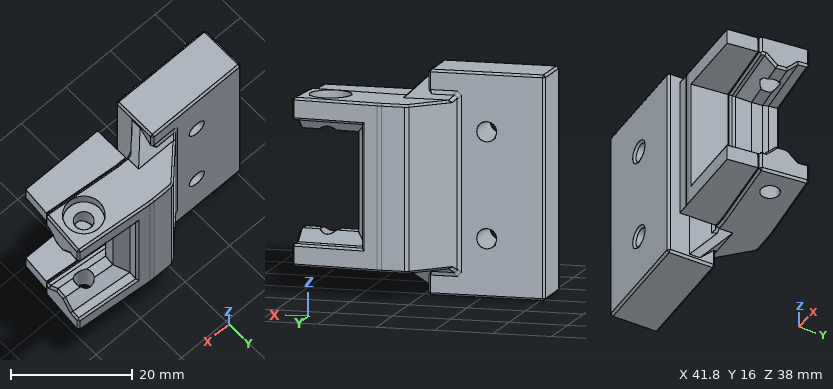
import cadquery as cq
import math

TOTAL_LENGTH = 41.8
CHAMFER = 0.4
TOLERANCE = 0.0005

BLOCK_LENGTH = 20.0
BLOCK_DEPTH = 9.0
BLOCK_HEIGHT = 38.0
SCREW_DIAMETER = 3.4
SCREW_SPACING = 18.0

ARM_OFFSET = 7.0
ARM_DEPTH = BLOCK_DEPTH
ARM_HEIGHT = 28.4
ARM_REACH = 15.0
BEND_ANGLE = 5.0
STRAP_FRONT_X = 23.0
STRAP_BACK_X = 21.75
STRAP_ROOT_Y = 7.1
FLARE_X = 24.0
FLARE_Y = 10.0

WINDOW_START = 2.7
WINDOW_HEIGHT = 20.8
RIDGE_HEIGHT = 2.0
RIDGE_TOP = 2.0
RIDGE_START = 1.0

PIVOT_DIAMETER = 3.4
PIVOT_ALONG = 10.05
HEAD_DIAMETER = 7.0
HEAD_DEPTH = 2.1

FRAME_GAP = 0.2
FRAME_RECESS_LENGTH = 0.63

bend_sin = math.sin(math.radians(BEND_ANGLE))
bend_cos = math.cos(math.radians(BEND_ANGLE))
bend_x = TOTAL_LENGTH - ARM_REACH * bend_cos - (ARM_DEPTH - CHAMFER) * bend_sin
arm_back = ARM_OFFSET + ARM_DEPTH
half_arm = ARM_HEIGHT / 2
ridge_top_start = RIDGE_START + RIDGE_HEIGHT
ridge_top_end = ridge_top_start + RIDGE_TOP
ridge_end = ridge_top_end + RIDGE_HEIGHT
pivot_depth = (ridge_top_start + ridge_top_end) / 2
far = 4 * TOTAL_LENGTH

bent_plane = cq.Plane(origin=(bend_x, ARM_OFFSET, 0), xDir=(bend_cos, -bend_sin, 0), normal=(0, 0, 1))


def bent_point(along, depth):
    """X and Y of a point given along and through the bent arm."""
    return bent_plane.toWorldCoords((along, depth, 0)).toTuple()[:2]


def bent_box(start, end, front, back, height):
    """Box in the axes of the bent arm, centred on Z = 0."""
    corners = [(start, front), (end, front), (end, back), (start, back)]
    outline = [bent_point(along, depth) for along, depth in corners]
    return cq.Workplane("XY").polyline(outline).close().extrude(height / 2, both=True)




def depth_in_bent_arm(point):
    return bent_plane.toLocalCoords(point).y


def distance_to_arm_end(point):
    return bent_plane.toLocalCoords(point).x - ARM_REACH


def depth_in_strap(point):
    return (point.x - STRAP_BACK_X) - (point.y - arm_back)




def is_on(edge, distance):
    """Whether both ends of an edge are at zero distance from a plane."""
    return all(abs(distance(point)) < TOLERANCE for point in (edge.startPoint(), edge.endPoint()))


def is_upright(edge):
    along = edge.endPoint() - edge.startPoint()
    return math.hypot(along.x, along.y) < TOLERANCE


def is_arm_rim(edge):
    """Whether an edge is on the rim of the front, back or end of the arm, above the flare at the back."""
    if is_on(edge, distance_to_arm_end):
        return True
    if is_upright(edge):
        return is_on(edge, lambda point: point.x - STRAP_BACK_X)
    if is_on(edge, depth_in_strap):
        return edge.Center().y > FLARE_Y
    rim_planes = [
        lambda point: point.y - ARM_OFFSET,
        lambda point: point.y - arm_back,
        depth_in_bent_arm,
        lambda point: depth_in_bent_arm(point) - ARM_DEPTH,
    ]
    return any(is_on(edge, distance) for distance in rim_planes)


def is_flare_rim(edge):
    """Whether an edge lies between the flare and the sloping back of the strap."""
    return is_on(edge, depth_in_strap) and not is_upright(edge) and STRAP_ROOT_Y < edge.Center().y < FLARE_Y


def is_strap_front_corner(edge):
    """Whether an edge is the inner corner between the strap and the straight front face."""
    return is_upright(edge) and abs(edge.startPoint().x - STRAP_FRONT_X) < TOLERANCE


def is_strap_foot(edge):
    """Whether an edge is an inner corner between the strap and the back of the block."""
    middle = edge.Center()
    return (
        is_on(edge, lambda point: point.y - BLOCK_DEPTH)
        and abs(middle.z) < BLOCK_HEIGHT / 2 - 2 * CHAMFER
        and CHAMFER + TOLERANCE < middle.x < BLOCK_LENGTH - CHAMFER - TOLERANCE
    )


def is_window_end_rim(edge):
    """Whether an edge is where the window walls run out at the end of the arm."""
    return is_on(edge, distance_to_arm_end) and abs(edge.Center().z) < WINDOW_HEIGHT / 2 + CHAMFER


def chamfer_where(shape, wanted):
    """Chamfer the edges that pass a test; an inner corner gets filled."""
    return shape.newObject([edge for edge in shape.edges().vals() if wanted(edge)]).chamfer(CHAMFER)




def make_block():
    """Chamfered mounting block, before its screw holes."""
    block = cq.Workplane("XY").box(BLOCK_LENGTH, BLOCK_DEPTH, BLOCK_HEIGHT, centered=(False, False, True))
    return block.edges().chamfer(CHAMFER)


def strap_outline():
    """Outline of the arm in X and Y, rooted inside the block."""
    return [
        (STRAP_FRONT_X - (ARM_OFFSET - CHAMFER), CHAMFER),
        (STRAP_FRONT_X, ARM_OFFSET),
        (bend_x, ARM_OFFSET),
        bent_point(ARM_REACH, 0),
        bent_point(ARM_REACH, ARM_DEPTH),
        bent_point(0, ARM_DEPTH),
        (bend_x, arm_back),
        (STRAP_BACK_X, arm_back),
        (STRAP_BACK_X - (arm_back - STRAP_ROOT_Y), STRAP_ROOT_Y),
    ]


def make_flare(plane, start):
    """Endless wedge, as tall as the arm at start and widening at 45 degrees down to zero."""
    half_foot = half_arm + start
    outline = [(start, half_arm), (0, half_foot), (0, -half_foot), (start, -half_arm)]
    return cq.Workplane(plane).polyline(outline).close().extrude(far, both=True)


def make_arm_blank():
    """Arm with sharp edges, its height widening towards the block."""
    strap = cq.Workplane("XY").polyline(strap_outline()).close().extrude(BLOCK_HEIGHT / 2, both=True)
    level = cq.Workplane("XY").box(far, far, ARM_HEIGHT)
    flare = make_flare("XZ", FLARE_X).intersect(make_flare("YZ", FLARE_Y))
    return strap.intersect(level.union(flare))


def make_window():
    """Cutter for the open-ended window: chamfered rims, flat lands and the narrow throat of the ridge."""
    wall = [
        (0, -CHAMFER),
        (CHAMFER, 0),
        (RIDGE_START, 0),
        (ridge_top_start, RIDGE_HEIGHT),
        (ridge_top_end, RIDGE_HEIGHT),
        (ridge_end, 0),
        (ARM_DEPTH - CHAMFER, 0),
        (ARM_DEPTH, -CHAMFER),
    ]
    inner_wall = [(WINDOW_START + inset, depth) for depth, inset in wall]
    length_outline = inner_wall + [(far, ARM_DEPTH), (far, 0)]
    length = cq.Workplane(bent_plane).polyline(length_outline).close().extrude(BLOCK_HEIGHT, both=True)

    upper_wall = [(depth, WINDOW_HEIGHT / 2 - inset) for depth, inset in wall]
    lower_wall = [(depth, -z) for depth, z in reversed(upper_wall)]
    end_plane = cq.Plane(origin=bent_plane.origin, xDir=bent_plane.yDir, normal=bent_plane.xDir)
    height = cq.Workplane(end_plane).polyline(upper_wall + lower_wall).close().extrude(far, both=True)
    return length.intersect(height)


def make_pivot_hole():
    """Hole through both arm ends, with a recess for the screw head in the upper one."""
    pivot = cq.Workplane(bent_plane).center(PIVOT_ALONG, pivot_depth)
    hole = pivot.circle(PIVOT_DIAMETER / 2).extrude(ARM_HEIGHT, both=True)
    head = pivot.workplane(offset=half_arm - HEAD_DEPTH).circle(HEAD_DIAMETER / 2).extrude(ARM_HEIGHT)
    return hole.union(head)


def make_screw_holes():
    """Holes through the block, chamfered at the front."""
    radius = SCREW_DIAMETER / 2
    profile = [(0, 0), (radius + CHAMFER, 0), (radius, CHAMFER), (radius, BLOCK_DEPTH), (0, BLOCK_DEPTH)]
    hole = cq.Workplane("XY").polyline(profile).close().revolve(360, (0, 0), (0, 1))
    return [hole.translate((BLOCK_LENGTH / 2, 0, side * SCREW_SPACING / 2)) for side in (-1, 1)]


def make_bracket():
    """Block and arm as one body, with the window, the pivot hole and the screw holes."""
    arm = make_arm_blank()
    for wanted in (is_arm_rim, is_flare_rim, is_strap_front_corner):
        arm = chamfer_where(arm, wanted)
    bracket = chamfer_where(make_block().union(arm), is_strap_foot)
    bracket = chamfer_where(bracket.cut(make_window()), is_window_end_rim)
    for hole in [make_pivot_hole(), *make_screw_holes()]:
        bracket = bracket.cut(hole)
    return bracket




def make_frame():
    """Frame that stands on the plane Y = 0 and follows the front of the arm at a small gap."""
    height = ARM_HEIGHT - 2 * CHAMFER
    straight_size = (bend_x - FLARE_X, ARM_OFFSET - FRAME_GAP, height)
    straight = cq.Workplane("XY").box(*straight_size, centered=(False, False, True))
    straight = straight.translate((FLARE_X, 0, 0))

    bent_front = FRAME_RECESS_LENGTH * bend_sin - ARM_OFFSET * bend_cos
    bent = bent_box(0, ARM_REACH - CHAMFER, bent_front, -FRAME_GAP, height)
    behind_front = cq.Workplane("XY").box(far, far, far, centered=(True, False, True))

    opening = bent_box(WINDOW_START - CHAMFER, far, -far, far, WINDOW_HEIGHT + 2 * CHAMFER)
    return straight.union(bent.intersect(behind_front)).cut(opening)


bracket = make_bracket()
frame = make_frame()
result = cq.Compound.makeCompound([bracket.solids().val(), frame.solids().val()])